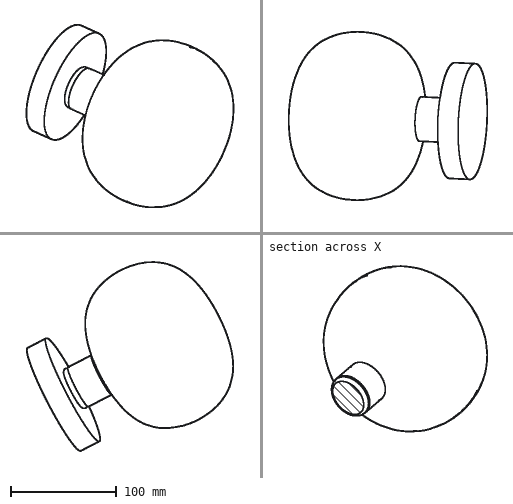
import cadquery as cq

total_length = 174.4
base_radius = 55.0
base_thickness = 20.0
ring_width = 5.8
ring_radius = 21.0
neck_radius = 21.1
neck_length = 25.1
knob_radius = 79.7
knob_fullness = 1.3

ring_start = base_thickness
neck_start = ring_start + ring_width
knob_start = neck_start + neck_length
knob_center = (knob_start + total_length) / 2

ring_edge_radius = ring_width / 2
ring_face_radius = ring_radius - ring_edge_radius


def revolve_about_x(profile):
    """Turn a closed half profile in the XZ plane into a round solid."""
    return profile.revolve(360, (0, 0, 0), (1, 0, 0))


def make_cylinder(start, length, radius):
    profile = cq.Workplane("XZ").moveTo(start, 0).lineTo(start, radius)
    profile = profile.lineTo(start + length, radius).lineTo(start + length, 0).close()
    return revolve_about_x(profile)


def make_base():
    return make_cylinder(0, base_thickness, base_radius)


def make_ring():
    """Washer-like disc with a fully rounded rim, between the base and the neck."""
    profile = cq.Workplane("XZ").moveTo(ring_start, 0).lineTo(ring_start, ring_face_radius)
    profile = profile.threePointArc(
        (ring_start + ring_edge_radius, ring_radius), (neck_start, ring_face_radius)
    )
    return revolve_about_x(profile.lineTo(neck_start, 0).close())


def make_neck():
    return make_cylinder(neck_start, neck_length, neck_radius)


def make_knob():
    """Full oval knob whose pole touches the end face of the neck."""
    side_handle = knob_fullness * knob_radius
    middle_handle = (8 * knob_radius - 4 * side_handle) / 3
    profile = cq.Workplane("XZ").moveTo(knob_start, 0)
    profile = profile.bezier([
        (knob_start, 0),
        (knob_start, side_handle),
        (knob_center, middle_handle),
        (total_length, side_handle),
        (total_length, 0),
    ])
    return revolve_about_x(profile.close())


base = make_base()
ring = make_ring()
neck = make_neck()
knob = make_knob()

result = cq.Compound.makeCompound([base.val(), ring.val(), neck.val(), knob.val()])